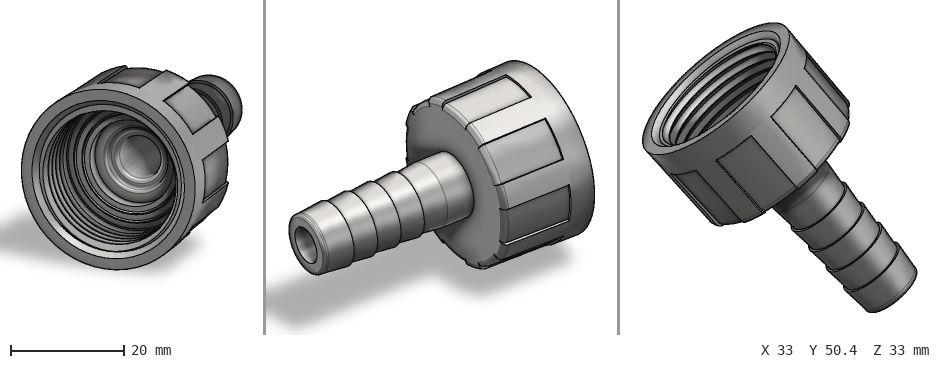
import cadquery as cq
import math


nut_length = 18.8
skirt_radius = 16.485
skirt_length = 5.0
grip_back_radius = 16.18
nut_back_fillet = 1.0
pocket_count = 8
pocket_angle = 28.0
pocket_front_radius = 15.965
pocket_back_radius = 15.63
pocket_cutter_margin = 1.0
mouth_radius = 14.45
counterbore_radius = 13.48
counterbore_depth = 1.0

thread_pitch = 1.814
thread_crest_radius = 12.3
thread_root_radius = 13.4
thread_groove_width = 1.6
thread_overcut = 0.1
thread_end_gap = 0.4
root_start_angle = -90.0

gasket_front = 11.2
gasket_back = 13.75
gasket_inner_radius = 15.81 / 2
gasket_outer_radius = 12.0
ridge_height = 0.25
ridge_radii = [(17.82 / 2, 18.84 / 2), (20.94 / 2, 21.96 / 2)]

tail_end = 50.4
tail_outer_radius = 12.5 / 2
barb_root_radius = 11.5 / 2
flange_back = 16.5
barb_pitch = 5.0
barb_count = 4
first_barb_foot = 24.4
end_fillet = 0.55
end_land = 0.4
bore_step_radius = 4.7
bore_radius = 3.95
bore_end_radius = 3.45
entry_lip_radius = 5.2
bore_step_fillet = bore_step_radius - bore_radius
entry_fillet = (tail_outer_radius - entry_lip_radius) / 2
entry_depth = 2 * entry_fillet

DIAGONAL = math.sqrt(0.5)


def revolve_about_y(profile, angle=360.0):
    return profile.close().revolve(angle, (0, 0, 0), (0, 1, 0))


def rounded_back(profile, radius):
    """Round the back rim of a wall that ends at the given radius, leaving the pen on the back face."""
    start = nut_length - nut_back_fillet
    centre = radius - nut_back_fillet
    middle = (centre + nut_back_fillet * DIAGONAL, start + nut_back_fillet * DIAGONAL)
    return profile.lineTo(radius, start).threePointArc(middle, (centre, nut_length))


def make_nut_blank():
    profile = cq.Workplane("XY").moveTo(mouth_radius, 0).lineTo(skirt_radius, 0)
    profile = (
        rounded_back(profile, grip_back_radius)
        .lineTo(tail_outer_radius, nut_length)
        .lineTo(tail_outer_radius, flange_back)
        .lineTo(gasket_outer_radius, flange_back)
        .lineTo(gasket_outer_radius, gasket_front)
        .lineTo(thread_crest_radius, gasket_front)
        .lineTo(thread_crest_radius, counterbore_depth)
        .lineTo(counterbore_radius, counterbore_depth)
    )
    return revolve_about_y(profile)


def make_grip_pocket():
    """Cutter for one shallow grip pocket, centred on +X."""
    clear_radius = skirt_radius + pocket_cutter_margin
    profile = cq.Workplane("XY").moveTo(pocket_front_radius, skirt_length)
    profile = (
        rounded_back(profile, pocket_back_radius)
        .lineTo(clear_radius, nut_length)
        .lineTo(clear_radius, skirt_length)
    )
    sector = revolve_about_y(profile, pocket_angle)
    return sector.rotate((0, 0, 0), (0, 1, 0), -pocket_angle / 2)


def make_thread_groove():
    """Right-handed V groove from just outside the counterbore to just short of the gasket."""
    start = counterbore_depth - thread_pitch
    length = gasket_front - thread_end_gap - thread_groove_width / 2 - start
    half_width = thread_groove_width / 2
    inner_radius = thread_crest_radius - thread_overcut
    depth = thread_root_radius - thread_crest_radius
    inner_half_width = half_width * (depth + thread_overcut) / depth
    section = (
        cq.Workplane("XZ")
        .moveTo(inner_radius, -inner_half_width)
        .lineTo(thread_root_radius, 0)
        .lineTo(inner_radius, inner_half_width)
        .close()
    )
    helix = cq.Wire.makeHelix(thread_pitch, length, thread_crest_radius)
    groove = section.sweep(cq.Workplane(obj=helix), isFrenet=True)
    along_y = groove.rotate((0, 0, 0), (1, 0, 0), -90)
    return along_y.rotate((0, 0, 0), (0, 1, 0), -root_start_angle).translate((0, start, 0))


def make_nut():
    nut = make_nut_blank()
    pocket = make_grip_pocket()
    for index in range(pocket_count):
        nut = nut.cut(pocket.rotate((0, 0, 0), (0, 1, 0), index * 360 / pocket_count))
    return nut.cut(make_thread_groove())


def make_gasket():
    """Flat ring with two V ridges on its front face."""
    profile = cq.Workplane("XY").moveTo(gasket_inner_radius, gasket_front)
    for inner, outer in ridge_radii:
        profile = (
            profile.lineTo(inner, gasket_front)
            .lineTo((inner + outer) / 2, gasket_front - ridge_height)
            .lineTo(outer, gasket_front)
        )
    profile = (
        profile.lineTo(gasket_outer_radius, gasket_front)
        .lineTo(gasket_outer_radius, gasket_back)
        .lineTo(gasket_inner_radius, gasket_back)
    )
    return revolve_about_y(profile)


def make_hose_tail():
    entry_middle = (tail_outer_radius + entry_lip_radius) / 2
    step_front = gasket_back + entry_depth
    profile = (
        cq.Workplane("XY")
        .moveTo(tail_outer_radius, gasket_back)
        .lineTo(gasket_outer_radius, gasket_back)
        .lineTo(gasket_outer_radius, flange_back)
        .lineTo(tail_outer_radius, flange_back)
        .lineTo(tail_outer_radius, first_barb_foot)
    )
    for index in range(1, barb_count + 1):
        shoulder = first_barb_foot + index * barb_pitch
        profile = profile.lineTo(barb_root_radius, shoulder).lineTo(tail_outer_radius, shoulder)
    end_centre = (barb_root_radius - end_fillet, tail_end - end_fillet)
    end_middle = (end_centre[0] + end_fillet * DIAGONAL, end_centre[1] + end_fillet * DIAGONAL)
    step_middle = (
        bore_step_radius - bore_step_fillet * DIAGONAL,
        step_front + bore_step_fillet * (1 - DIAGONAL),
    )
    profile = (
        profile.lineTo(barb_root_radius, end_centre[1] - end_land)
        .lineTo(barb_root_radius, end_centre[1])
        .threePointArc(end_middle, (end_centre[0], tail_end))
        .lineTo(bore_end_radius, tail_end)
        .lineTo(bore_radius, step_front + bore_step_fillet)
        .threePointArc(step_middle, (bore_step_radius, step_front))
        .lineTo(entry_lip_radius, step_front)
        .tangentArcPoint((entry_middle, gasket_back + entry_fillet), relative=False)
        .tangentArcPoint((tail_outer_radius, gasket_back), relative=False)
    )
    return revolve_about_y(profile)


nut = make_nut()
gasket = make_gasket()
hose_tail = make_hose_tail()

result = cq.Compound.makeCompound([nut.solids().val(), gasket.val(), hose_tail.val()])